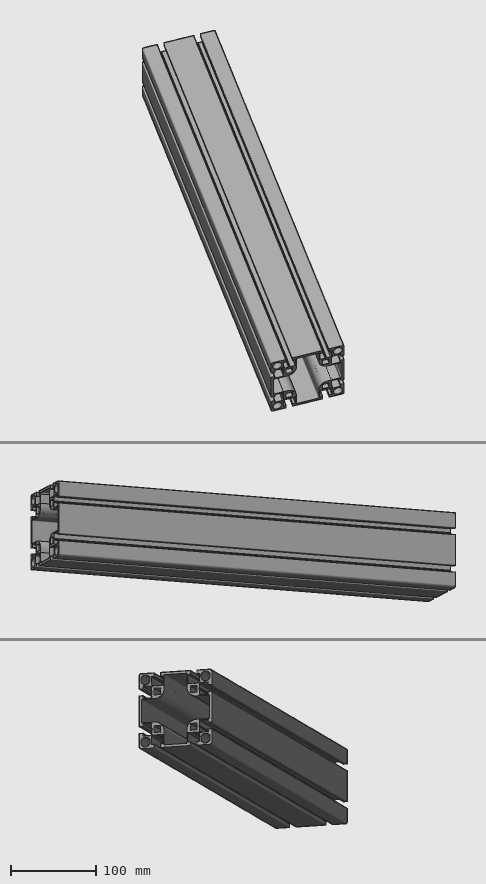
import cadquery as cq

length = 500.0
side = 90.0
half_side = side / 2
outer_fillet = 2.5

slot_pitch = half_side
slot_centre = slot_pitch / 2
slot_mouth = 8.0
slot_chamber = 14.5
slot_depth = 15.5
lip_thickness = 4.5
lip_fillet = 0.55
neck_chamfer = 1.5

groove_width = 2.0
groove_depth = 0.5

face_wall = 3.0
arm_half_width = 14.0
core_radius = 11.5
arm_fillet = 1.0

bore_diameter = 11.5
bore_centre = half_side - slot_depth / 2

duct_outer_wall = 3.0
duct_side = 8.0


def section():
    """Sketch plane of the end face at -X: local X is Y, local Y is Z."""
    return cq.Workplane("YZ", origin=(-length / 2, 0, 0))


def prism(bottom, top, left, right):
    """Full-length rectangular bar between the given Z and Y positions."""
    centred = section().center((left + right) / 2, (bottom + top) / 2)
    return centred.rect(right - left, top - bottom).extrude(length)


def rod(centre, radius):
    """Full-length cylinder on the section diagonal."""
    return section().center(centre, centre).circle(radius).extrude(length)


def slot():
    """T-slot open to the +Z face, on the +Y side of the section."""
    floor = half_side - slot_depth
    lip_bottom = half_side - lip_thickness
    chamber_edge = slot_centre + slot_chamber / 2
    mouth_left = slot_centre - slot_mouth / 2
    mouth_right = slot_centre + slot_mouth / 2

    chamber = prism(floor, lip_bottom, chamber_edge - slot_chamber, chamber_edge)
    chamber = chamber.edges("|X and <Z and >Y").chamfer(neck_chamfer)

    mouth = (
        section()
        .moveTo(mouth_left, lip_bottom)
        .lineTo(mouth_left, half_side - lip_fillet)
        .radiusArc((mouth_left - lip_fillet, half_side), -lip_fillet)
        .lineTo(mouth_right + lip_fillet, half_side)
        .radiusArc((mouth_right, half_side - lip_fillet), -lip_fillet)
        .lineTo(mouth_right, lip_bottom)
        .close()
        .extrude(length)
    )
    groove = (
        section()
        .moveTo(slot_centre - groove_width / 2, floor)
        .lineTo(slot_centre + groove_width / 2, floor)
        .lineTo(slot_centre, floor - groove_depth)
        .close()
        .extrude(length)
    )
    return chamber.union(mouth).union(groove)


def duct():
    """Square duct set just behind the two slot floors."""
    outer = half_side - slot_depth - duct_outer_wall
    inner = outer - duct_side
    return prism(inner, outer, inner, outer)


def cavity():
    """Cross-shaped cavity with filleted arm ends and rounded inner corners."""
    reach = half_side - face_wall
    upright = prism(-reach, reach, -arm_half_width, arm_half_width).edges("|X").fillet(arm_fillet)
    level = prism(-arm_half_width, arm_half_width, -reach, reach).edges("|X").fillet(arm_fillet)
    near = arm_half_width + core_radius
    inner_corners = cq.selectors.BoxSelector((-length, -near, -near), (length, near, near))
    return upright.union(level).edges("|X").edges(inner_corners).fillet(core_radius)


def quarter_cuts():
    """Slots, bore and duct of the +Y +Z quarter of the section."""
    top_slot = slot()
    side_slot = top_slot.mirror("XZ").rotate((0, 0, 0), (1, 0, 0), -90)
    return top_slot.union(side_slot).union(rod(bore_centre, bore_diameter / 2)).union(duct())


result = prism(-half_side, half_side, -half_side, half_side)
result = result.edges("|X").fillet(outer_fillet).cut(cavity())
quarter = quarter_cuts()
for quarter_turn in range(4):
    result = result.cut(quarter.rotate((0, 0, 0), (1, 0, 0), 90 * quarter_turn))